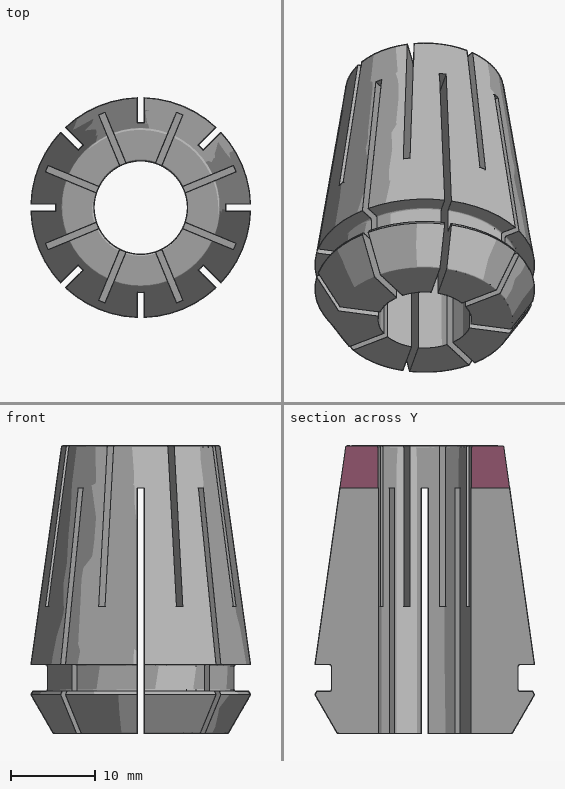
import cadquery as cq
import math

height = 34.0
max_radius = 13.0
bore_diameter = 11.0
cone_half_angle = 8.0
nose_half_angle = 30.0

rim_height = 4.6
groove_bottom = 5.0
groove_top = 8.13
groove_radius = 11.05
groove_fillet = 0.2

rim_chamfer_width = 0.25
top_edge_fillet = 0.25
bore_edge_fillet = 0.25
nose_edge_fillet = 0.17

slots_per_set = 8
slot_width = 0.8
lower_slot_top = 29.0
upper_slot_bottom = 15.0

bore_radius = bore_diameter / 2
slot_pitch = 360 / slots_per_set
nose_radius = max_radius - rim_height * math.tan(math.radians(nose_half_angle))
top_radius = max_radius - (height - groove_top) * math.tan(math.radians(cone_half_angle))


def make_body():
    """Revolve the collet profile: nose cone, rim, groove, long clamping cone and bore."""
    profile = [
        (bore_radius, 0),
        (nose_radius, 0),
        (max_radius, rim_height),
        (max_radius - rim_chamfer_width, groove_bottom),
        (groove_radius, groove_bottom),
        (groove_radius, groove_top),
        (max_radius, groove_top),
        (top_radius, height),
        (bore_radius, height),
    ]
    return cq.Workplane("XZ").polyline(profile).close().revolve(360, (0, 0, 0), (0, 1, 0))


def circle_edge(body, radius, z):
    """Pick the full circular edge with this radius at this height."""
    tolerance = 0.0005
    return body.edges("%CIRCLE").filter(
        lambda edge: abs(edge.radius() - radius) < tolerance
        and abs(edge.Center().z - z) < tolerance
    )


def round_edges(body):
    """Round the groove corners and the edges of the two end faces."""
    roundings = [
        (groove_radius, groove_bottom, groove_fillet),
        (groove_radius, groove_top, groove_fillet),
        (top_radius, height, top_edge_fillet),
        (bore_radius, height, bore_edge_fillet),
        (nose_radius, 0, nose_edge_fillet),
    ]
    for edge_radius, edge_z, fillet_radius in roundings:
        body = circle_edge(body, edge_radius, edge_z).fillet(fillet_radius)
    return body


def make_slots(z_bottom, z_top, first_angle):
    """Radial slots through the wall, evenly spaced around the axis."""
    slot = (
        cq.Workplane("XY", origin=(0, 0, z_bottom))
        .rect(2 * max_radius, slot_width)
        .extrude(z_top - z_bottom)
    )
    slots = slot.rotate((0, 0, 0), (0, 0, 1), first_angle)
    for index in range(1, slots_per_set // 2):
        slots = slots.union(slot.rotate((0, 0, 0), (0, 0, 1), first_angle + index * slot_pitch))
    return slots


body = round_edges(make_body())
lower_slots = make_slots(0, lower_slot_top, 0)
upper_slots = make_slots(upper_slot_bottom, height, slot_pitch / 2)
result = body.cut(lower_slots).cut(upper_slots)